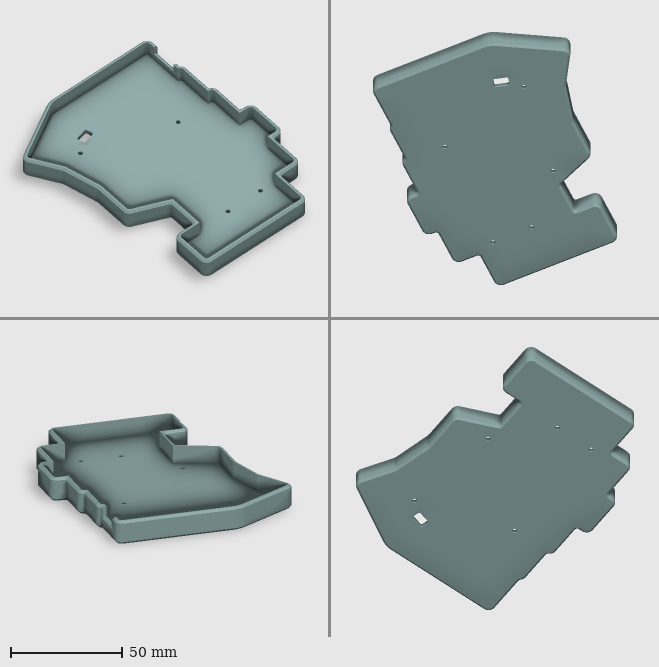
import cadquery as cq
import math

length = 119.87
width = 99.75
height = 11.1
wall = 1.8
floor_thickness = 2.5
rim_chamfer = 1.05
inner_corner_radius = 1.6
outer_hollow_radius = 1.2

left_x = -length / 2 + wall
right_x = length / 2 - wall
first_step_x = -36.85
second_step_x = -17.8
tab_left_x = 1.25
tab_right_x = 20.1
back_shoulder_x = 39.1
recess_right_x = 39.4

back_left_y = 37.56
back_second_y = 39.05
back_third_y = 41.5
tab_y = width / 2 - wall
back_fourth_y = 42.1
back_right_y = 30.05
front_right_y = -26.7
recess_y = -14.8
front_y = -34.14

recess_left_x = 20.88
front_right_corner_x = 12.79
front_bend = (-6.05, front_y)
thumb_bend = (-25.0, -39.0)
thumb_tip = (-40.8, -48.71)
left_bend_y = -18.8
left_bend_radius = 10.2

notch_left_x = -53.4
notch_right_x = -39.95
notch_sill_z = 6.35

screw_hole_diameter = 2.2
screw_points = [(-18.19, 21.8), (36.9, 23.35), (36.9, 4.3), (13.64, -17.0), (-32.51, -23.71)]
slot_centre = (-38.9, -15.48)
slot_width = 4.35
slot_length = 6.95
slot_corner_radius = 0.8
slot_tilt = 14.8


def toward(start, end, distance):
    """Point at a distance from start along the line to end."""
    span = math.dist(start, end)
    return tuple(s + (e - s) * distance / span for s, e in zip(start, end))


def sharp_cavity_outline():
    """Cavity outline, with a large arc only at the left bend."""
    bend = (left_x, left_bend_y)
    back_left = (left_x, back_left_y)
    slant_angle = math.atan2(thumb_tip[0] - left_x, left_bend_y - thumb_tip[1])
    arc_start = toward(bend, thumb_tip, left_bend_radius * math.tan(slant_angle / 2))
    arc_end = toward(bend, back_left, left_bend_radius * math.tan(slant_angle / 2))
    arc_middle = (
        left_x + left_bend_radius * (1 - math.cos(slant_angle / 2)),
        arc_end[1] - left_bend_radius * math.sin(slant_angle / 2),
    )
    corners = [
        back_left,
        (first_step_x, back_left_y),
        (first_step_x, back_second_y),
        (second_step_x, back_second_y),
        (second_step_x, back_third_y),
        (tab_left_x, back_third_y),
        (tab_left_x, tab_y),
        (tab_right_x, tab_y),
        (tab_right_x, back_fourth_y),
        (back_shoulder_x, back_fourth_y),
        (back_shoulder_x, back_right_y),
        (right_x, back_right_y),
        (right_x, front_right_y),
        (recess_right_x, front_right_y),
        (recess_right_x, recess_y),
        (recess_left_x, recess_y),
        (front_right_corner_x, front_y),
        front_bend,
        thumb_bend,
        thumb_tip,
        arc_start,
    ]
    return cq.Workplane("XY").polyline(corners).threePointArc(arc_middle, arc_end).close()


def cavity_outline():
    """Shrinking and growing again rounds only the corners that point outward."""
    return sharp_cavity_outline().offset2D(-inner_corner_radius).offset2D(inner_corner_radius)


def outer_outline():
    """Growing past the wall and shrinking back rounds the hollow corners too."""
    return cavity_outline().offset2D(wall + outer_hollow_radius).offset2D(-outer_hollow_radius)


def make_tray():
    body = outer_outline().extrude(height).faces("<Z or >Z").chamfer(rim_chamfer)
    cavity = cavity_outline().extrude(height).translate((0, 0, floor_thickness))
    return body.cut(cavity)


def cable_notch():
    """Cutter whose bottom follows the bevelled sill of the notch."""
    outer_y = back_left_y + wall
    margin = 1.0
    return (
        cq.Workplane("YZ")
        .moveTo(back_left_y - margin, height + margin)
        .lineTo(back_left_y - margin, notch_sill_z)
        .lineTo(outer_y - rim_chamfer, notch_sill_z)
        .lineTo(outer_y + margin, notch_sill_z - rim_chamfer - margin)
        .lineTo(outer_y + margin, height + margin)
        .close()
        .extrude(notch_right_x - notch_left_x)
        .translate((notch_left_x, 0, 0))
    )


def screw_holes():
    return cq.Workplane("XY").pushPoints(screw_points).circle(screw_hole_diameter / 2).extrude(floor_thickness)


def floor_slot():
    return (
        cq.Workplane("XY")
        .rect(slot_width, slot_length)
        .extrude(floor_thickness)
        .edges("|Z")
        .fillet(slot_corner_radius)
        .rotate((0, 0, 0), (0, 0, 1), slot_tilt)
        .translate((*slot_centre, 0))
    )


result = make_tray().cut(cable_notch()).cut(screw_holes()).cut(floor_slot())